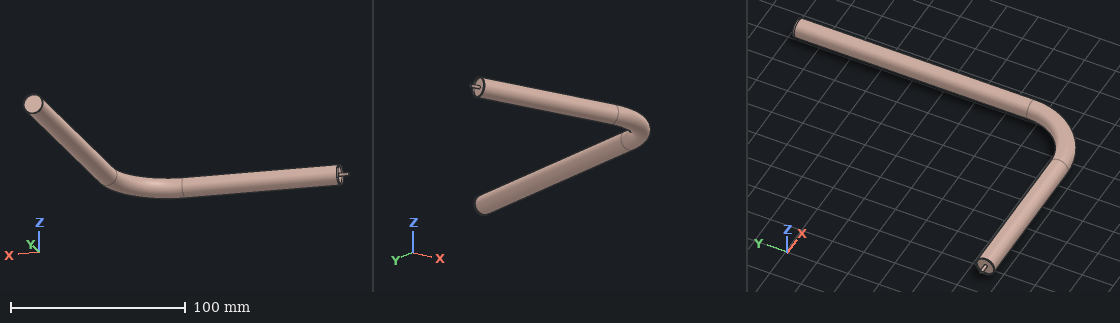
import cadquery as cq

overall_length_x = 140.0
overall_length_y = 192.5
rod_diameter = 12.0
bend_radius = 36.0

recess_depth = 1.0
rim_thickness = 0.4

pin_diameter = 2.0
pin_projection = 5.0

rod_radius = rod_diameter / 2
recess_radius = rod_radius - rim_thickness
long_arm_x = overall_length_x - pin_projection - rod_radius
long_arm_end_y = overall_length_y - rod_radius
short_arm_length = long_arm_x - bend_radius


def bent_rod():
    """Round bar: short arm along +X, quarter-circle bend, long arm along +Y."""
    centreline = (
        cq.Workplane("XY")
        .lineTo(short_arm_length, 0)
        .radiusArc((long_arm_x, bend_radius), -bend_radius)
        .lineTo(long_arm_x, long_arm_end_y)
    )
    return cq.Workplane("YZ").circle(rod_radius).sweep(centreline)


def end_recess(plane, end_centre):
    """Disc removed from one end face; the plane's normal points into the rod."""
    return cq.Workplane(plane, origin=end_centre).circle(recess_radius).extrude(recess_depth)


def end_pin():
    """Thin pin standing on the recess floor of the short arm."""
    floor = cq.Workplane("YZ", origin=(recess_depth, 0, 0))
    return floor.circle(pin_diameter / 2).extrude(-(recess_depth + pin_projection))


result = (
    bent_rod()
    .cut(end_recess("YZ", (0, 0, 0)))
    .cut(end_recess("XZ", (long_arm_x, long_arm_end_y, 0)))
    .union(end_pin())
)